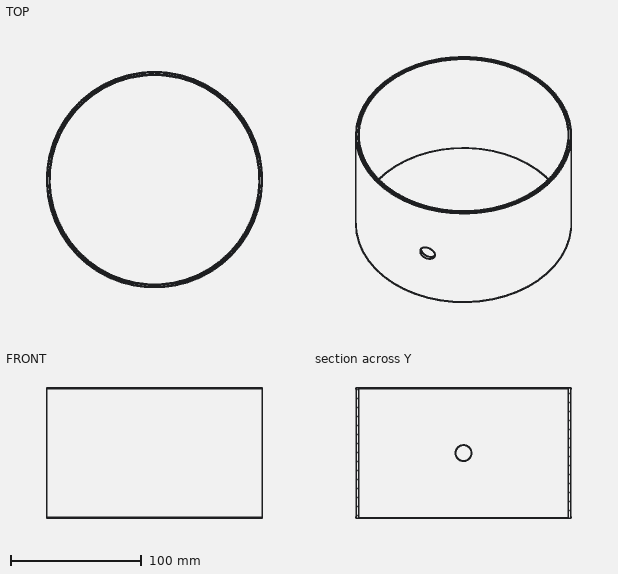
import cadquery as cq

outer_diameter = 165.0
height = 100.0
wall = 2.5
outer_radius = outer_diameter / 2
inner_radius = outer_radius - wall

outer_bevel_width = 0.5
outer_bevel_height = 1.0
inner_bevel = 0.7

hole_diameter = 12.0
hole_height = height / 2


def make_tube():
    """Upright tube standing on Z = 0, revolved from its bevelled wall section."""
    wall_section = [
        (inner_radius + inner_bevel, 0),
        (outer_radius - outer_bevel_width, 0),
        (outer_radius, outer_bevel_height),
        (outer_radius, height - outer_bevel_height),
        (outer_radius - outer_bevel_width, height),
        (inner_radius + inner_bevel, height),
        (inner_radius, height - inner_bevel),
        (inner_radius, inner_bevel),
    ]
    return (
        cq.Workplane("YZ")
        .polyline(wall_section)
        .close()
        .revolve(360, (0, 0, 0), (0, 1, 0))
    )


def make_hole_cutter():
    """Cylinder running from the tube axis out through the +Y wall."""
    return (
        cq.Workplane("XZ")
        .center(0, hole_height)
        .circle(hole_diameter / 2)
        .extrude(-outer_diameter)
    )


result = make_tube().cut(make_hole_cutter())